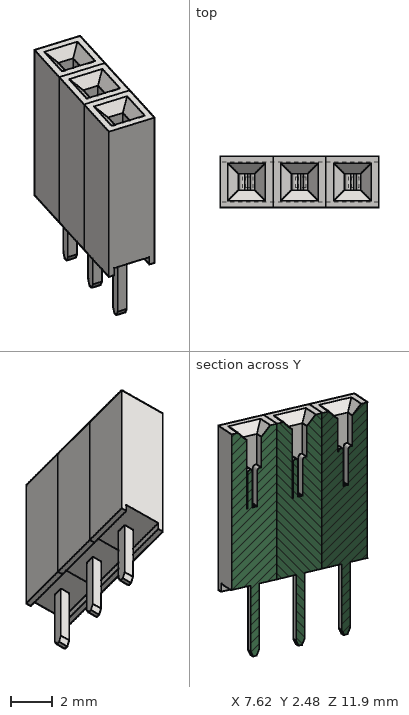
import cadquery as cq

cell_count = 3
pitch = 2.54
cell_depth = 2.48
cell_height = 8.58

foot_thickness = 0.28
foot_height = 0.43

funnel_mouth = 1.8
throat_size = 0.8
funnel_depth = (funnel_mouth - throat_size) / 2
throat_bottom = 4.5

contact_offset = 0.05
prong_spacing = 0.55
prong_thickness = 0.3
prong_radius = prong_thickness / 2
prong_top = 6.5
prong_gap = prong_spacing - prong_thickness
ridge_height = 0.014
ridge_sagitta = 0.005

tail_size = 0.5
tail_length = 3.3
tip_width = 0.2
tip_height = 0.31


def make_shell():
    """Cell block with its standoff channel, funnel and throat, centred on X = 0."""
    block = cq.Workplane("XY").box(pitch, cell_depth, cell_height, centered=(True, True, False))
    channel = cq.Workplane("XY").box(
        pitch, cell_depth - 2 * foot_thickness, foot_height, centered=(True, True, False)
    )
    funnel = (
        cq.Workplane("XY", origin=(0, 0, cell_height - funnel_depth))
        .rect(throat_size, throat_size)
        .workplane(offset=funnel_depth)
        .rect(funnel_mouth, funnel_mouth)
        .loft(ruled=True)
    )
    throat = cq.Workplane("XY", origin=(0, 0, throat_bottom)).box(
        throat_size, throat_size, cell_height - funnel_depth - throat_bottom, centered=(True, True, False)
    )
    return block.cut(channel).cut(funnel).cut(throat)


def extrude_across_throat(outline):
    """Extrude a closed XZ outline over the full Y width of the throat."""
    return outline.extrude(throat_size / 2, both=True)


def make_prong(side):
    """Upright prong with a half-round top; side is -1 or 1."""
    centre = contact_offset + side * prong_spacing / 2
    shoulder = prong_top - prong_radius
    outline = (
        cq.Workplane("XZ")
        .moveTo(centre - prong_radius, throat_bottom)
        .lineTo(centre - prong_radius, shoulder)
        .threePointArc((centre, prong_top), (centre + prong_radius, shoulder))
        .lineTo(centre + prong_radius, throat_bottom)
        .close()
    )
    return extrude_across_throat(outline)


def make_ridge():
    """Low ridge between the prongs: two hollow arcs meeting in a crest."""
    half_gap = prong_gap / 2
    arc_middle_height = throat_bottom + ridge_height / 2 - ridge_sagitta
    crest = (contact_offset, throat_bottom + ridge_height)
    outline = (
        cq.Workplane("XZ")
        .moveTo(contact_offset - half_gap, throat_bottom)
        .threePointArc((contact_offset - half_gap / 2, arc_middle_height), crest)
        .threePointArc(
            (contact_offset + half_gap / 2, arc_middle_height),
            (contact_offset + half_gap, throat_bottom),
        )
        .close()
    )
    return extrude_across_throat(outline)


def make_tail():
    """Solder tail from the channel roof down to its tapered tip."""
    half_width = tail_size / 2
    half_tip = tip_width / 2
    outline = (
        cq.Workplane("XZ", origin=(contact_offset, 0, 0))
        .moveTo(-half_width, foot_height)
        .lineTo(-half_width, tip_height - tail_length)
        .lineTo(-half_tip, -tail_length)
        .lineTo(half_tip, -tail_length)
        .lineTo(half_width, tip_height - tail_length)
        .lineTo(half_width, foot_height)
        .close()
    )
    return outline.extrude(tail_size / 2, both=True)


def make_cell():
    """One complete cell: shell, prongs, ridge and tail as a single solid."""
    cell = make_shell()
    for side in (-1, 1):
        cell = cell.union(make_prong(side))
    return cell.union(make_ridge()).union(make_tail())


cells = []
for index in range(cell_count):
    cell_x = (index - (cell_count - 1) / 2) * pitch
    cells.append(make_cell().translate((cell_x, 0, 0)))

result = cq.Compound.makeCompound([cell.solids().val() for cell in cells])